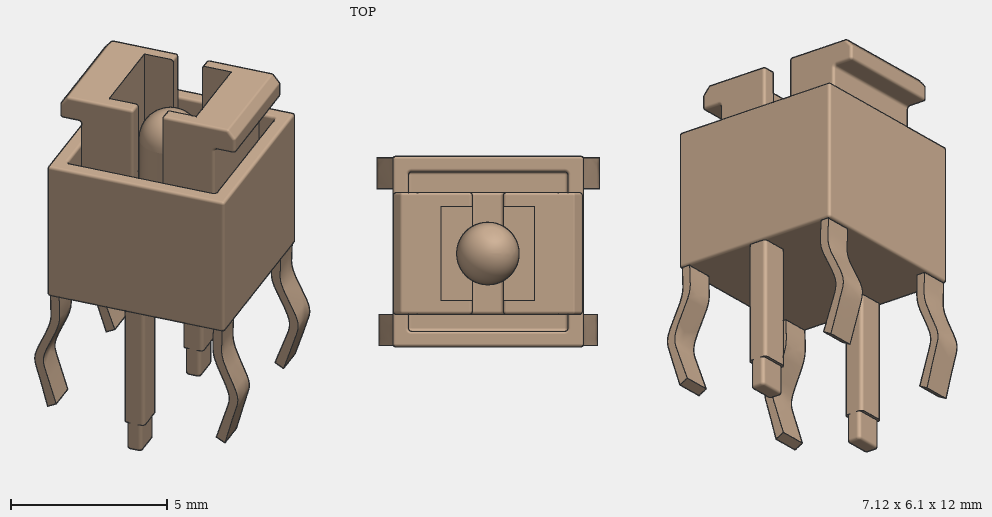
import cadquery as cq

TOTAL_HEIGHT = 11.99
RIM_Z = 9.93

BOX_SIDE = 6.1
BOX_HEIGHT = 4.81
WALL = 0.5
EDGE_RADIUS = 0.1
BOX_BOTTOM_Z = RIM_Z - BOX_HEIGHT
FLOOR_Z = BOX_BOTTOM_Z + WALL

LEG_WIDTH = 1.0
LEG_CENTER_Y = 2.5
LEG_ROOT = EDGE_RADIUS

PIN_CENTER_X = -0.07
PIN_THICKNESS = 0.7
PIN_EDGE_RADIUS = 0.12
TIP_THICKNESS = 0.52
TIP_LENGTH = 1.0

CLIP_THICKNESS = 0.3
CLIP_OUTER_X = 2.96
BACK_CLIP_REACH = 3.56
FRONT_CLIP_REACH = 3.5
CLIP_KNEE_Z = 4.2
CLIP_BULGE_Z = 2.66
BULGE_SHOULDER_DROP = 0.08
BULGE_SHOULDER_RISE = 0.38
CLIP_TIP_Z = 0.98
CLIP_TIP_X = 3.06
CLIP_TIP_RISE = 0.15

PLUNGER_X = -0.01
PLUNGER_Y = -0.06
PLUNGER_DEPTH = 3.9
NECK_WIDTH = 4.6
HEAD_WIDTH = 6.04
HEAD_HEIGHT = 0.8
HEAD_CHAMFER_WIDTH = 0.25
HEAD_CHAMFER_HEIGHT = 0.3
SLOT_WIDTH = 1.0
POCKET_SIDE = 3.0
POCKET_DEPTH = 4.06
POCKET_FLOOR_Z = TOTAL_HEIGHT - POCKET_DEPTH
SLOT_FLOOR_Z = POCKET_FLOOR_Z - SLOT_WIDTH / 2
DOME_DIAMETER = 2.0
DOME_TOP_Z = 11.01


def make_box():
    """Open-topped square box with every edge slightly rounded."""
    box = (
        cq.Workplane("XY", origin=(0, 0, BOX_BOTTOM_Z))
        .box(BOX_SIDE, BOX_SIDE, BOX_HEIGHT, centered=(True, True, False))
    )
    inner_side = BOX_SIDE - 2 * WALL
    cavity = (
        cq.Workplane("XY", origin=(0, 0, FLOOR_Z))
        .box(inner_side, inner_side, BOX_HEIGHT, centered=(True, True, False))
    )
    return box.cut(cavity).edges().fillet(EDGE_RADIUS)


def make_pin(center_y):
    """Straight contact pin with a thinner tip that ends at Z = 0."""
    shank_length = BOX_BOTTOM_Z + LEG_ROOT - TIP_LENGTH
    shank = (
        cq.Workplane("XY", origin=(PIN_CENTER_X, center_y, TIP_LENGTH))
        .box(PIN_THICKNESS, LEG_WIDTH, shank_length, centered=(True, True, False))
        .edges("|Z").fillet(PIN_EDGE_RADIUS)
    )
    tip = (
        cq.Workplane("XY", origin=(PIN_CENTER_X, center_y, 0))
        .box(TIP_THICKNESS, LEG_WIDTH, TIP_LENGTH, centered=(True, True, False))
        .edges("|Z").fillet(PIN_EDGE_RADIUS)
        .faces("<Z").edges().fillet(EDGE_RADIUS)
    )
    return shank.union(tip)


def make_right_clip(center_y, reach):
    """Bent spring strip on the +X side: straight down, bulging out, then back in."""
    shoulder_x = reach - BULGE_SHOULDER_DROP
    root = (CLIP_OUTER_X, BOX_BOTTOM_Z + LEG_ROOT)
    upper_bends = [
        (CLIP_OUTER_X, CLIP_KNEE_Z),
        (shoulder_x, CLIP_BULGE_Z + BULGE_SHOULDER_RISE),
        (reach, CLIP_BULGE_Z),
    ]
    lower_shoulder = (shoulder_x, CLIP_BULGE_Z - BULGE_SHOULDER_RISE)
    outer_tip = (CLIP_TIP_X, CLIP_TIP_Z)
    inner_tip = (CLIP_TIP_X - CLIP_THICKNESS, CLIP_TIP_Z + CLIP_TIP_RISE)
    toward_tip = (CLIP_TIP_X - shoulder_x, CLIP_TIP_Z - lower_shoulder[1])
    away_from_tip = (shoulder_x - CLIP_TIP_X, lower_shoulder[1] - inner_tip[1])

    outer_bends = upper_bends + [lower_shoulder]
    inner_bends = [(x - CLIP_THICKNESS, z) for x, z in reversed(outer_bends)]
    inner_root = (root[0] - CLIP_THICKNESS, root[1])
    return (
        cq.Workplane("XZ", origin=(0, center_y + LEG_WIDTH / 2, 0))
        .moveTo(*root)
        .spline(outer_bends + [outer_tip], tangents=[(0, -1), toward_tip], includeCurrent=True)
        .lineTo(*inner_tip)
        .spline(inner_bends + [inner_root], tangents=[away_from_tip, (0, 1)], includeCurrent=True)
        .close()
        .extrude(LEG_WIDTH)
    )


def make_housing():
    """Box with its contact pins and spring clips, all one solid."""
    housing = make_box()
    for center_y, reach in [(-LEG_CENTER_Y, FRONT_CLIP_REACH), (LEG_CENTER_Y, BACK_CLIP_REACH)]:
        right_clip = make_right_clip(center_y, reach)
        left_clip = right_clip.mirror("YZ")
        housing = housing.union(make_pin(center_y)).union(right_clip).union(left_clip)
    return housing


def make_plunger_blank():
    """T-shaped block with chamfered head corners, split by a slot along Y and rounded."""
    half_neck = NECK_WIDTH / 2
    half_head = HEAD_WIDTH / 2
    head_bottom_z = TOTAL_HEIGHT - HEAD_HEIGHT
    right_side = [
        (half_neck, FLOOR_Z),
        (half_neck, head_bottom_z),
        (half_head, head_bottom_z),
        (half_head, TOTAL_HEIGHT - HEAD_CHAMFER_HEIGHT),
        (half_head - HEAD_CHAMFER_WIDTH, TOTAL_HEIGHT),
    ]
    left_side = [(-x, z) for x, z in reversed(right_side)]
    slot_sides = [
        (SLOT_WIDTH / 2, TOTAL_HEIGHT),
        (SLOT_WIDTH / 2, SLOT_FLOOR_Z),
        (-SLOT_WIDTH / 2, SLOT_FLOOR_Z),
        (-SLOT_WIDTH / 2, TOTAL_HEIGHT),
    ]
    return (
        cq.Workplane("XZ", origin=(0, PLUNGER_DEPTH / 2, 0))
        .polyline(right_side + slot_sides + left_side).close()
        .extrude(PLUNGER_DEPTH)
        .edges("not <Z").fillet(EDGE_RADIUS)
    )


def make_dome():
    """Round lamp with a hemispherical top, standing on the slot floor."""
    radius = DOME_DIAMETER / 2
    center_z = DOME_TOP_Z - radius
    post = cq.Workplane("XY", origin=(0, 0, SLOT_FLOOR_Z)).circle(radius).extrude(center_z - SLOT_FLOOR_Z)
    ball = cq.Workplane("XY", origin=(0, 0, center_z)).sphere(radius)
    return post.union(ball)


def make_plunger():
    """Blank with a sharp-edged square pocket around the lamp dome."""
    pocket = (
        cq.Workplane("XY", origin=(0, 0, POCKET_FLOOR_Z))
        .box(POCKET_SIDE, POCKET_SIDE, POCKET_DEPTH, centered=(True, True, False))
    )
    plunger = make_plunger_blank().cut(pocket).union(make_dome())
    return plunger.translate((PLUNGER_X, PLUNGER_Y, 0))


housing = make_housing()
plunger = make_plunger()

result = cq.Compound.makeCompound([housing.val(), plunger.val()])